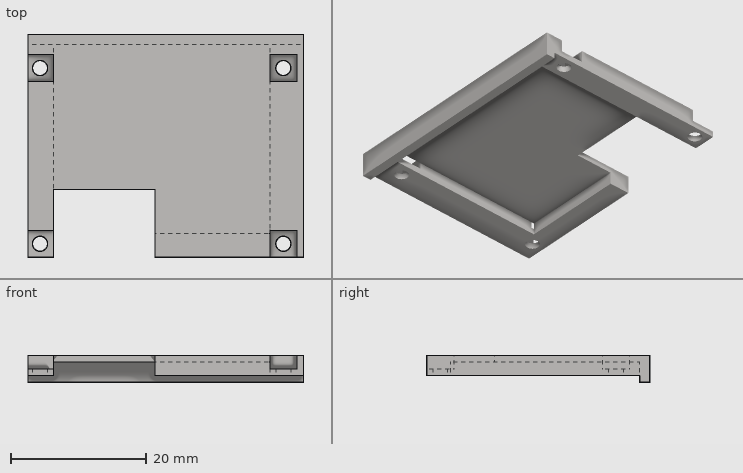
import cadquery as cq

length = 40.8
width = 33.0
height = 4.0

lip_thickness = 1.5
lip_drop = 1.0

hole_diameter = 2.2
hole_left = 1.8
hole_front = 2.0
hole_spacing_x = 36.0
hole_spacing_y = 26.0
pocket_size = 4.0
pocket_depth = 2.0

notch_left = hole_left + pocket_size / 2
notch_length = 15.0
notch_depth = 10.0

skin_thickness = 1.0
front_wall = 3.5
cavity_left = notch_left
cavity_right = hole_left + hole_spacing_x - pocket_size / 2
cavity_rear = width - lip_thickness
cavity_roof = height - skin_thickness


def block(x_range, y_range, z_range):
    """Box spanning the given (low, high) range along each axis."""
    (x0, x1), (y0, y1), (z0, z1) = x_range, y_range, z_range
    return cq.Workplane("XY").box(x1 - x0, y1 - y0, z1 - z0, centered=False).translate((x0, y0, z0))


def make_body():
    """Flat plate with the lip along its rear edge."""
    plate = block((0, length), (0, width), (lip_drop, height))
    lip = block((0, length), (width - lip_thickness, width), (0, height))
    return plate.union(lip)


def make_cavity():
    """Hollow under the top skin, open at the bottom."""
    return block((cavity_left, cavity_right), (front_wall, cavity_rear), (0, cavity_roof))


def make_notch():
    """Rectangular opening through the full height at the front edge."""
    return block((notch_left, notch_left + notch_length), (0, notch_depth), (0, height))


def make_screw_seat(x, y):
    """Square pocket with a through hole at its centre."""
    half = pocket_size / 2
    pocket = block((x - half, x + half), (y - half, y + half), (height - pocket_depth, height))
    hole = cq.Workplane("XY").center(x, y).circle(hole_diameter / 2).extrude(height)
    return pocket.union(hole)


result = make_body().cut(make_cavity()).cut(make_notch())
for seat_x in (hole_left, hole_left + hole_spacing_x):
    for seat_y in (hole_front, hole_front + hole_spacing_y):
        result = result.cut(make_screw_seat(seat_x, seat_y))